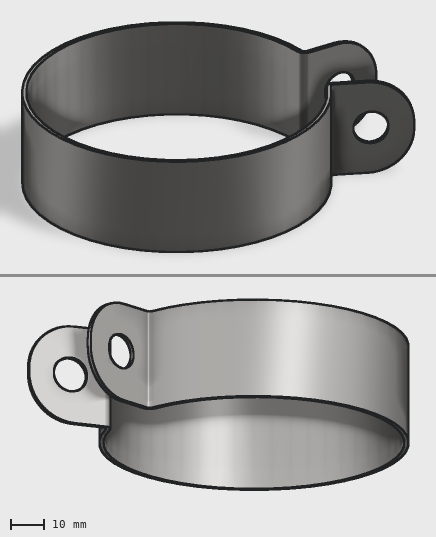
import cadquery as cq
import math

overall_length = 115.1
band_width = 30.0
thickness = 1.3
band_outer_radius = 45.9
bend_inner_radius = 1.2
ear_gap = 21.0
ear_lean = 12.8
ear_corner_radius = 14.0
hole_from_tip = 13.0
hole_diameter = 10.5

band_inner_radius = band_outer_radius - thickness
bend_outer_radius = bend_inner_radius + thickness

lean = math.radians(ear_lean)
bend_x = ear_gap / 2 + bend_outer_radius
bend_y = math.sqrt((band_outer_radius + bend_inner_radius) ** 2 - bend_x**2)
band_end_angle = math.atan2(bend_y, bend_x)
bend_start_angle = band_end_angle + math.pi
bend_end_angle = math.pi - lean
bend_mid_angle = (bend_start_angle + bend_end_angle) / 2

tip_y = overall_length - band_outer_radius
ear_start_y = bend_y + bend_outer_radius * math.sin(lean)
ear_length = (tip_y - ear_start_y) / math.cos(lean)


def band_point(radius, angle):
    return (radius * math.cos(angle), radius * math.sin(angle))


def bend_point(radius, angle):
    return (bend_x + radius * math.cos(angle), bend_y + radius * math.sin(angle))


def tip_point(radius):
    x, y = bend_point(radius, bend_end_angle)
    return (x + ear_length * math.sin(lean), y + ear_length * math.cos(lean))


def band():
    """Open ring whose two ends meet the bends."""
    outer_x, outer_y = band_point(band_outer_radius, band_end_angle)
    inner_x, inner_y = band_point(band_inner_radius, band_end_angle)
    return (
        cq.Workplane("XY")
        .moveTo(outer_x, outer_y)
        .threePointArc((0, -band_outer_radius), (-outer_x, outer_y))
        .lineTo(-inner_x, inner_y)
        .threePointArc((0, -band_inner_radius), (inner_x, inner_y))
        .close()
        .extrude(band_width / 2, both=True)
    )


def plain_ear():
    """Bend and straight ear on the +X side, with square corners."""
    return (
        cq.Workplane("XY")
        .moveTo(*bend_point(bend_inner_radius, bend_start_angle))
        .threePointArc(
            bend_point(bend_inner_radius, bend_mid_angle),
            bend_point(bend_inner_radius, bend_end_angle),
        )
        .lineTo(*tip_point(bend_inner_radius))
        .lineTo(*tip_point(bend_outer_radius))
        .lineTo(*bend_point(bend_outer_radius, bend_end_angle))
        .threePointArc(
            bend_point(bend_outer_radius, bend_mid_angle),
            bend_point(bend_outer_radius, bend_start_angle),
        )
        .close()
        .extrude(band_width / 2, both=True)
    )


def round_ear_corners(body):
    """Round the upper and lower corners at the tip of the ear."""
    inner_x, inner_y = tip_point(bend_outer_radius)
    outer_x, outer_y = tip_point(bend_inner_radius)
    tip_x = (inner_x + outer_x) / 2
    tip_mid_y = (inner_y + outer_y) / 2
    for z in (-band_width / 2, band_width / 2):
        corner = cq.selectors.NearestToPointSelector((tip_x, tip_mid_y, z))
        body = body.edges(corner).fillet(ear_corner_radius)
    return body


def ear_hole():
    """Cylinder square to the ear, passing through its full thickness."""
    inner_x, inner_y = tip_point(bend_outer_radius)
    outward = cq.Vector(math.cos(lean), -math.sin(lean), 0)
    center = cq.Vector(
        inner_x - hole_from_tip * math.sin(lean),
        inner_y - hole_from_tip * math.cos(lean),
        0,
    )
    start = center - outward * thickness
    return cq.Solid.makeCylinder(hole_diameter / 2, 3 * thickness, start, outward)


ear = round_ear_corners(plain_ear()).cut(ear_hole())
result = band().union(ear, clean=False).union(ear.mirror("YZ"), clean=False)